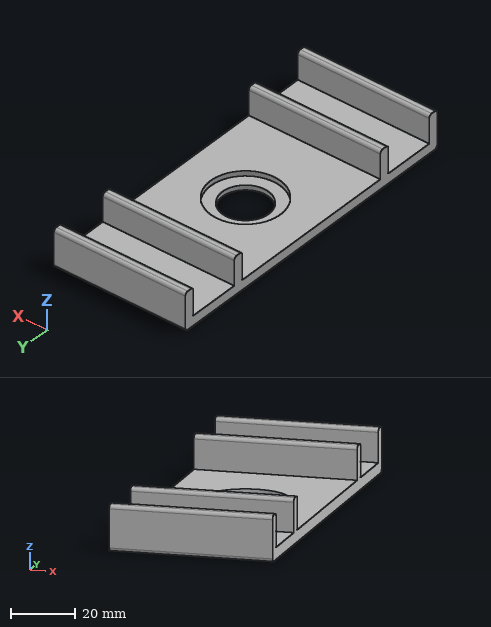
import cadquery as cq

width = 53.0
length = 124.0
height = 15.0

wall = 4.0
channel_width = 20.1
edge_radius = 1.2

hole_diameter = 18.5
recess_diameter = 28.0
recess_depth = 2.0


def make_rib(center_y):
    """Full-height rib across the width, with both top edges rounded."""
    rib = cq.Workplane("XY").box(width, wall, height, centered=(True, True, False))
    return rib.edges("|X and >Z").fillet(edge_radius).translate((0, center_y, 0))


body = cq.Workplane("XY").box(width, length, wall, centered=(True, True, False))

outer_rib_y = (length - wall) / 2
inner_rib_y = outer_rib_y - channel_width - wall
for rib_y in (outer_rib_y, inner_rib_y):
    for side in (-1, 1):
        body = body.union(make_rib(side * rib_y))
body = body.clean()

body = body.edges("|X and <Z").fillet(edge_radius)

hole = cq.Workplane("XY").circle(hole_diameter / 2).extrude(wall)
recess = (
    cq.Workplane("XY", origin=(0, 0, wall - recess_depth))
    .circle(recess_diameter / 2)
    .extrude(recess_depth)
)
result = body.cut(hole).cut(recess)